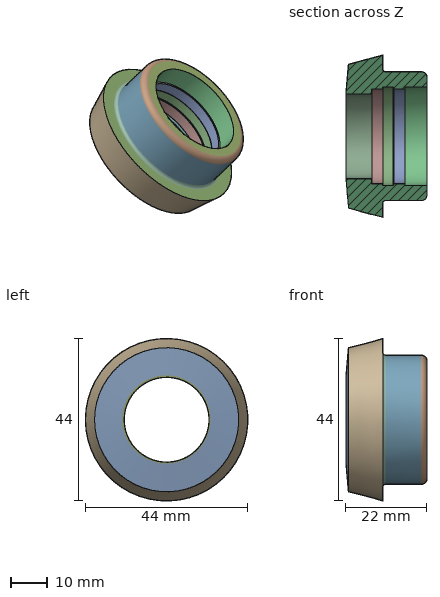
import cadquery as cq
import math

total_length = 22.0
flange_back_x = 10.0

flange_diameter = 44.0
flange_front_diameter = 39.0
face_slope = 5.0

spigot_diameter = 35.0
spigot_end_radius = 1.6
root_fillet_radius = 0.8

bore_diameter = 22.9
front_land_width = 0.5
bore_depth = 7.0
counterbore_diameter = 25.6
groove_diameter = 26.6
groove_start_x = 10.0
groove_end_x = 13.0
groove_taper_angle = 30.0
back_opening_x = 16.0
back_opening_diameter = groove_diameter

land_radius = bore_diameter / 2 + front_land_width
rim_radius = flange_front_diameter / 2
rim_x = (rim_radius - land_radius) * math.tan(math.radians(face_slope))

groove_depth = (groove_diameter - counterbore_diameter) / 2
groove_taper_length = groove_depth * math.tan(math.radians(groove_taper_angle))


def revolve_about_x(outline):
    """Close the outline and turn it a full circle about the X axis."""
    return outline.close().revolve(360, (0, 0, 0), (1, 0, 0))


def outer_body():
    """Solid of revolution with the tapered flange, conical face and rounded spigot."""
    flange_radius = flange_diameter / 2
    spigot_radius = spigot_diameter / 2
    outline = (
        cq.Workplane("XY")
        .lineTo(0, land_radius)
        .lineTo(rim_x, rim_radius)
        .lineTo(flange_back_x, flange_radius)
        .lineTo(flange_back_x, spigot_radius + root_fillet_radius)
        .radiusArc((flange_back_x + root_fillet_radius, spigot_radius), -root_fillet_radius)
        .lineTo(total_length - spigot_end_radius, spigot_radius)
        .radiusArc((total_length, spigot_radius - spigot_end_radius), spigot_end_radius)
        .lineTo(total_length, 0)
    )
    return revolve_about_x(outline)


def stepped_bore():
    """Cutter for the bore, counterbore, tapered-end ring groove and wider back opening."""
    bore_radius = bore_diameter / 2
    counterbore_radius = counterbore_diameter / 2
    groove_radius = groove_diameter / 2
    back_opening_radius = back_opening_diameter / 2
    outline = (
        cq.Workplane("XY")
        .lineTo(0, bore_radius)
        .lineTo(bore_depth, bore_radius)
        .lineTo(bore_depth, counterbore_radius)
        .lineTo(groove_start_x, counterbore_radius)
        .lineTo(groove_start_x, groove_radius)
        .lineTo(groove_end_x - groove_taper_length, groove_radius)
        .lineTo(groove_end_x, counterbore_radius)
        .lineTo(back_opening_x, counterbore_radius)
        .lineTo(back_opening_x, back_opening_radius)
        .lineTo(total_length, back_opening_radius)
        .lineTo(total_length, 0)
    )
    return revolve_about_x(outline)


result = outer_body().cut(stepped_bore())